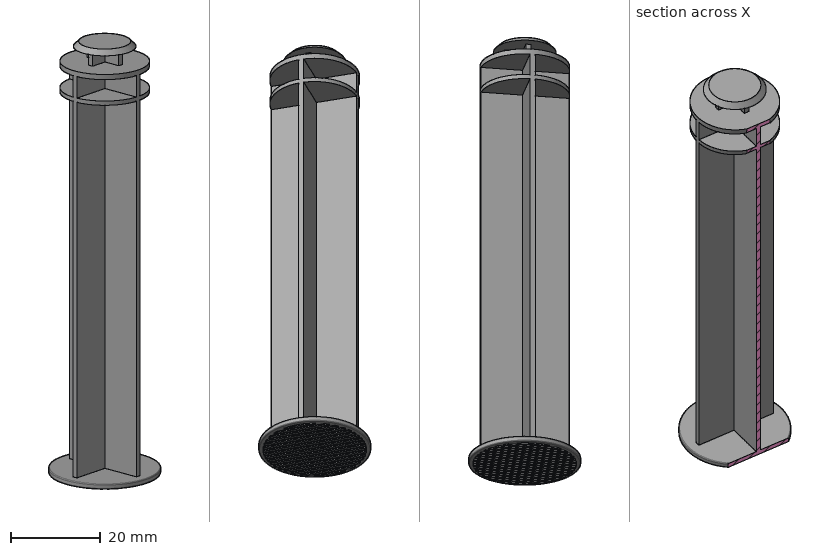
import cadquery as cq
total_height = 101.0
flange_diameter = 25.0
flange_thickness = 1.2
flange_edge_radius = 0.2

bar_height = 0.3
bar_pitch = 1.4
bar_width = 0.6
bars_per_side = 8
bar_field_diameter = 23.0

stem_diameter = 20.0
rib_thickness = 1.2
upper_disc_thickness = 1.2
lower_disc_thickness = 1.0
disc_gap = 5.0

neck_diameter = 9.5
neck_height = 3.4
cap_thickness = 1.2
cap_bottom_diameter = 14.0
cap_top_diameter = cap_bottom_diameter - 2 * cap_thickness

flange_top = bar_height + flange_thickness
cap_bottom = total_height - cap_thickness
stem_top = cap_bottom - neck_height
upper_disc_bottom = stem_top - upper_disc_thickness
lower_disc_bottom = upper_disc_bottom - disc_gap - lower_disc_thickness


def disc(diameter, bottom, thickness):
    """Round plate centred on the Z axis."""
    return cq.Workplane("XY").workplane(offset=bottom).circle(diameter / 2).extrude(thickness)


def cross(diameter, bottom, top):
    """Two crossed ribs along X and Y whose outer ends follow a cylinder."""
    height = top - bottom
    plane = cq.Workplane("XY").workplane(offset=bottom)
    along_x = plane.rect(diameter, rib_thickness).extrude(height)
    along_y = plane.rect(rib_thickness, diameter).extrude(height)
    return along_x.union(along_y).intersect(disc(diameter, bottom, height))


def flange():
    """Base plate with both rims rounded."""
    plate = disc(flange_diameter, bar_height, flange_thickness)
    return plate.edges().fillet(flange_edge_radius)


def grip_bars():
    """Row of parallel bars trimmed to a round field."""
    positions = [(index * bar_pitch, 0) for index in range(-bars_per_side, bars_per_side + 1)]
    row = cq.Workplane("XY").pushPoints(positions).rect(bar_width, bar_field_diameter).extrude(bar_height)
    return row.intersect(disc(bar_field_diameter, 0, bar_height))


def cap():
    """Conical cap that narrows towards the top."""
    base = cq.Workplane("XY").workplane(offset=cap_bottom).circle(cap_bottom_diameter / 2)
    return base.workplane(offset=cap_thickness).circle(cap_top_diameter / 2).loft(ruled=True)


result = (
    flange()
    .union(grip_bars())
    .union(cross(stem_diameter, flange_top, stem_top))
    .union(disc(stem_diameter, lower_disc_bottom, lower_disc_thickness))
    .union(disc(stem_diameter, upper_disc_bottom, upper_disc_thickness))
    .union(cross(neck_diameter, stem_top, cap_bottom))
    .union(cap())
)